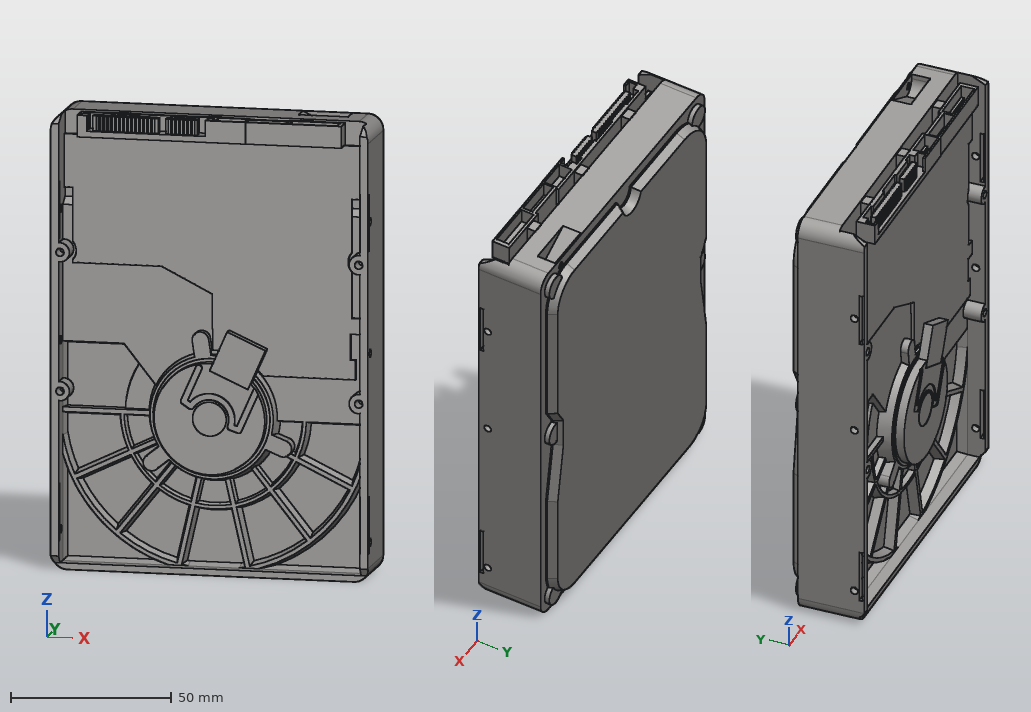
import cadquery as cq
import math

WIDTH = 101.5
HEIGHT = 145.2
DEPTH = 25.96

HALF = WIDTH / 2
BASE_BACK = 22.5
CORNER_RADIUS = 5.0
RAIL_WIDTH = 2.6
RAIL_INNER = HALF - RAIL_WIDTH
RAIL_FRONT_Y = 0.08
LAND_Y = 6.2
UPPER_FLOOR_Y = 9.4
STEP_LOW_Z = 115.4
STEP_HIGH_Z = 117.4
RAIL_TOP_SLOPE = (6.0, 3.0)
BOTTOM_WALL_Y = 2.1
BOTTOM_WALL = 2.1
BOTTOM_SLOPE_TOP_Z = 4.6

RECESS_XS = (25.1, 36.7, 40.9)
RECESS_DROP = 5.8
RECESS_FRONT_Y = 15.7
RECESS_BACK_Y = 22.0
RECESS_HOLE = (38.2, 142.3)
RECESS_HOLE_RADIUS = 1.1

SIDE_HOLE_DIAMETER = 2.46
SIDE_HOLE_Y = 3.4
SIDE_HOLE_DEPTH = 6.0
SIDE_HOLE_ZS = (12.6, 72.8, 114.7)
SLOT_ZS = (18.4, 114.6)
SLOT_LENGTH = 18.0
SLOT_FRONT_Y = 0.7
SLOT_WIDTH = 1.1
BOSS_X = 47.75
BOSS_ZS = (57.1, 101.3)
BOSS_RADIUS = 3.05
BOSS_HOLE_DIAMETER = 2.5
BOSS_HOLE_DEPTH = 6.0

MOTOR_Z = 50.2
MOTOR_RING_RADIUS = 19.7
MOTOR_RING_BASE_RADIUS = 21.0
MOTOR_RING_Y = 3.6
ROTOR_DIAMETER = 37.39
ROTOR_STEP_Y = 3.2
ROTOR_CAP_DIAMETER = 35.39
ROTOR_FRONT_Y = 0.3
SPINDLE_RADIUS = 5.4
SPINDLE_SINK = 0.1
LEDGE_XS = (-1.5, 7.0)
LEDGE_FRONT_Y = 4.5
LEDGE_TOP_Z = 71.4
LUG_RADIUS = 2.65
LUG_CENTRE_RADIUS = 24.6
LUG_FIRST_ANGLE = 98.4
LUG_COUNT = 3
OUTER_POCKET_Y = 9.4
INNER_POCKET_Y = 8.2
POCKET_DRAFT = 16.0
UPPER_POCKET_TOP_Z = 72.0
UPPER_POCKET_CORNER_X = -28.7
UPPER_POCKET_TIP = (-15.0, 54.8)
POCKET_COUNT = 7
RIB_HALF_WIDTH = 0.75
INNER_RING = (28.6, 29.7)
OUTER_RING = (48.8, 50.2)
POCKET_INSET = (OUTER_POCKET_Y - LAND_Y) * math.tan(math.radians(POCKET_DRAFT))

TAPE_BLOCK = (13.4, 13.8)
TAPE_BLOCK_CENTRE = (9.0, 69.2)
TAPE_BLOCK_FRONT_Y = 0.2
TAPE_BLOCK_BACK_Y = 3.2
TAPE_TILT = -24.0
GROOVE_DEPTH = 0.4
GROOVE_RADII = (6.1, 8.1)
GROOVE_END_ANGLES = (147.0, -18.6)
GROOVE_ELBOW_RADIUS = 9.8
GROOVE_LEFT_ARM = 11.8
GROOVE_RIGHT_ARM = 14.0

BOARD_FRONT_Y = 4.2
BOARD_BACK_Y = 5.3
BOARD_TOP_Z = 138.3
BOARD_EDGE_X = 47.2
BOARD_WAIST_X = 44.6
BOARD_WAIST_TOP_Z = 121.3
BOARD_LEFT_Z = 97.4
BOARD_RIGHT_Z = 63.9
BOARD_OUTLINE = [
    (-BOARD_EDGE_X, BOARD_TOP_Z),
    (BOARD_EDGE_X, BOARD_TOP_Z),
    (BOARD_EDGE_X, BOARD_WAIST_TOP_Z),
    (BOARD_WAIST_X, BOARD_WAIST_TOP_Z),
    (BOARD_WAIST_X, 83.4),
    (BOARD_EDGE_X, 83.4),
    (BOARD_EDGE_X, 78.4),
    (44.2, 78.4),
    (44.2, 70.1),
    (45.8, 70.1),
    (45.8, BOARD_RIGHT_Z),
    (0.3, BOARD_RIGHT_Z),
    (0.0, 89.3),
    (-16.1, BOARD_LEFT_Z),
    (-BOARD_WAIST_X, BOARD_LEFT_Z),
    (-BOARD_WAIST_X, BOARD_WAIST_TOP_Z),
    (-BOARD_EDGE_X, BOARD_WAIST_TOP_Z),
]
BOARD_BOSS_CLEARANCE = 4.3
BOARD_MOTOR_CLEARANCE = 21.3

CONNECTOR_X = 42.2
CONNECTOR_FRONT_Y = 0.0
CONNECTOR_BACK_Y = 6.2
CONNECTOR_FLOOR_Z = 140.2
RIGHT_SETBACK = 0.12
SOCKET_XS = (-39.2, -1.3)
SOCKET_BACK_Y = 4.6
SOCKET_KEYS = ((-39.2, -32.4), (-23.3, -13.3), (-4.3, -1.3))
SOCKET_KEY_BACK_Y = 5.2
SOCKET_GUIDE_XS = (-41.4, 0.9)
SOCKET_GUIDE_YS = (0.7, 3.4)
SATA_RIGHT_X = 1.3
SERVICE_RIGHT_X = 11.6
GAP_RIGHT_X = 24.4
THIN_WALL = 0.7
CELL_SIDE_WALL = 0.5
LAST_CELL_WALLS = (1.0, 1.5)
CELL_BACK_Y = 5.2
CELL_STEP_Z = 141.0
PIN_PITCH = 1.27
PIN_WIDTH = 0.8
PIN_PROUD = 0.3
TONGUE_Y = (1.6, 3.3)
POWER_TONGUE = (-37.5, -16.6, 15)
DATA_TONGUE = (-14.2, -4.1, 7)
TONGUE_TOP_Z = 144.9
TAB_XS = (-29.2, 0.0, 29.2)
TAB_WIDTH = 4.0
TAB_TOP_Z = 144.7

COVER_X = 47.5
COVER_Z = (3.0, 141.2)
COVER_SLOPE = (2.9, 1.5)
COVER_LARGE_RADIUS = 15.0
COVER_SMALL_RADIUS = 12.0
EDGE_NOTCH_RADIUS = 4.2
SIDE_NOTCH_DEPTH = 3.5
SIDE_NOTCH_ZS = (48.3, 70.0, 80.0, 86.0)
EAR_RADIUS = 4.0
EAR_X = 44.2
EAR_ZS = (6.3, 75.4, 138.7)
EAR_BACK_Y = 24.2


def box(x0, x1, y0, y1, z0, z1):
    """Box between opposite corners."""
    return cq.Workplane("XY").box(x1 - x0, y1 - y0, z1 - z0, centered=False).translate((x0, y0, z0))


def xz_plane(y):
    """Sketch plane at depth y; its local axes are X and Z, its normal points to -Y."""
    return cq.Workplane("XZ", origin=(0, y, 0))


def disc(x, z, radius, y0, y1):
    """Cylinder along Y."""
    return xz_plane(y1).center(x, z).circle(radius).extrude(y1 - y0)


def plate(points, y0, y1):
    """Plate with a polygon outline in X and Z."""
    return xz_plane(y1).polyline(points).close().extrude(y1 - y0)


def side_prism(points):
    """Prism along the full width with a polygon outline in Y and Z."""
    return cq.Workplane("YZ", origin=(-HALF, 0, 0)).polyline(points).close().extrude(WIDTH)


def around_motor(radius, degrees):
    """Point (X, Z) at a radius and angle about the motor axis."""
    angle = math.radians(degrees)
    return (radius * math.cos(angle), MOTOR_Z + radius * math.sin(angle))


def make_casting():
    casting = box(-HALF, HALF, RAIL_FRONT_Y, BASE_BACK, 0, HEIGHT).edges("|Y").fillet(CORNER_RADIUS)

    inside = side_prism([
        (0, BOTTOM_WALL),
        (LAND_Y, BOTTOM_WALL),
        (LAND_Y, STEP_LOW_Z),
        (UPPER_FLOOR_Y, STEP_HIGH_Z),
        (UPPER_FLOOR_Y, HEIGHT),
        (0, HEIGHT),
    ])
    casting = casting.cut(inside.intersect(box(-RAIL_INNER, RAIL_INNER, 0, BASE_BACK, 0, HEIGHT)))

    slope_y, slope_z = RAIL_TOP_SLOPE
    casting = casting.cut(side_prism([
        (RAIL_FRONT_Y, HEIGHT - slope_z),
        (slope_y, HEIGHT),
        (RAIL_FRONT_Y, HEIGHT),
    ]))
    casting = casting.cut(side_prism([
        (RAIL_FRONT_Y, 0),
        (BOTTOM_WALL_Y, 0),
        (BOTTOM_WALL_Y, BOTTOM_WALL),
        (RAIL_FRONT_Y, BOTTOM_SLOPE_TOP_Z),
    ]))
    return casting


def add_bosses(casting):
    for x in (-BOSS_X, BOSS_X):
        for z in BOSS_ZS:
            boss = disc(x, z, BOSS_RADIUS, RAIL_FRONT_Y, LAND_Y)
            casting = casting.union(boss.intersect(box(-HALF, HALF, 0, LAND_Y, 0, HEIGHT)))
    for x in (-BOSS_X, BOSS_X):
        for z in BOSS_ZS:
            casting = casting.cut(disc(x, z, BOSS_HOLE_DIAMETER / 2, 0, BOSS_HOLE_DEPTH))
    return casting


def cut_rail_openings(casting):
    for side in (-1, 1):
        for z in SIDE_HOLE_ZS:
            hole = (
                cq.Workplane("YZ", origin=(side * HALF, SIDE_HOLE_Y, z))
                .circle(SIDE_HOLE_DIAMETER / 2)
                .extrude(-side * SIDE_HOLE_DEPTH)
            )
            casting = casting.cut(hole)
    for z in SLOT_ZS:
        casting = casting.cut(box(
            -HALF, HALF,
            SLOT_FRONT_Y, SLOT_FRONT_Y + SLOT_WIDTH,
            z - SLOT_LENGTH / 2, z + SLOT_LENGTH / 2,
        ))
    return casting


def cut_top_recess(casting):
    """Ramped recess in the top wall, closed at the back by a thin wall with a small hole."""
    left, ramp_end, right = RECESS_XS
    bend_radius = right - ramp_end
    low_z = HEIGHT - RECESS_DROP
    middle = (
        ramp_end + bend_radius * math.sqrt(0.5),
        low_z + bend_radius * (1 - math.sqrt(0.5)),
    )
    recess = (
        xz_plane(RECESS_BACK_Y)
        .moveTo(left, HEIGHT)
        .lineTo(ramp_end, low_z)
        .threePointArc(middle, (right, low_z + bend_radius))
        .lineTo(right, HEIGHT)
        .close()
        .extrude(RECESS_BACK_Y - RECESS_FRONT_Y)
    )
    hole_x, hole_z = RECESS_HOLE
    hole = disc(hole_x, hole_z, RECESS_HOLE_RADIUS, RECESS_BACK_Y, BASE_BACK)
    return casting.cut(recess).cut(hole)


def sector_outline(plane, r_in, r_out, start, end, rib_half_width):
    """Outline between two radii and the flanks of two radial ribs, centred on start and end."""
    def corner(radius, degrees, side):
        return around_motor(radius, degrees + side * math.degrees(math.asin(rib_half_width / radius)))

    middle = (start + end) / 2
    return (
        plane
        .moveTo(*corner(r_in, start, 1))
        .lineTo(*corner(r_out, start, 1))
        .threePointArc(around_motor(r_out, middle), corner(r_out, end, -1))
        .lineTo(*corner(r_in, end, -1))
        .threePointArc(around_motor(r_in, middle), corner(r_in, start, 1))
        .close()
    )


def sector_pocket(r_in, r_out, start, end, floor_y):
    """Pocket narrowing by the draft from the land to its floor."""
    depth = floor_y - LAND_Y
    inset = depth * math.tan(math.radians(POCKET_DRAFT))
    mouth = sector_outline(xz_plane(LAND_Y), r_in, r_out, start, end, RIB_HALF_WIDTH)
    floor_plane = mouth.workplane(offset=-depth, origin=(0, 0, 0))
    both = sector_outline(floor_plane, r_in + inset, r_out - inset, start, end, RIB_HALF_WIDTH + inset)
    return both.loft(ruled=True)


def drafted_field(z0, z1):
    """Drafted block between the rails, limiting the pockets."""
    return (
        xz_plane(LAND_Y)
        .center(0, (z0 + z1) / 2)
        .rect(2 * RAIL_INNER, z1 - z0)
        .extrude(-(OUTER_POCKET_Y - LAND_Y), taper=POCKET_DRAFT)
    )


def cut_pockets(casting):
    field = drafted_field(BOTTOM_WALL, MOTOR_Z - RIB_HALF_WIDTH)
    step = 180 / POCKET_COUNT
    for i in range(POCKET_COUNT):
        start = 180 + i * step
        end = start + step
        inner = sector_pocket(MOTOR_RING_RADIUS, INNER_RING[0], start, end, INNER_POCKET_Y)
        outer = sector_pocket(INNER_RING[1], OUTER_RING[0], start, end, OUTER_POCKET_Y)
        casting = casting.cut(inner).cut(outer.intersect(field))

    ring = (
        xz_plane(OUTER_POCKET_Y)
        .center(0, MOTOR_Z)
        .circle(OUTER_RING[1] + POCKET_INSET)
        .extrude(OUTER_POCKET_Y - LAND_Y, taper=POCKET_DRAFT)
    )
    return casting.cut(field.cut(ring))


def cut_upper_pocket(casting):
    """Pocket left of the motor, with a shallower part inside the middle ring radius."""
    bottom = MOTOR_Z + RIB_HALF_WIDTH - POCKET_INSET
    pocket = (
        xz_plane(LAND_Y)
        .polyline([
            (-RAIL_INNER, bottom),
            (-RAIL_INNER, UPPER_POCKET_TOP_Z),
            (UPPER_POCKET_CORNER_X, UPPER_POCKET_TOP_Z),
            UPPER_POCKET_TIP,
            (UPPER_POCKET_TIP[0], bottom),
        ])
        .close()
        .extrude(-(OUTER_POCKET_Y - LAND_Y), taper=POCKET_DRAFT)
        .intersect(box(-HALF, 0, 0, BASE_BACK, MOTOR_Z + RIB_HALF_WIDTH, HEIGHT))
        .cut(disc(0, MOTOR_Z, INNER_RING[0], INNER_POCKET_Y, OUTER_POCKET_Y))
    )
    return casting.cut(pocket)


def make_motor():
    ring_depth = INNER_POCKET_Y - MOTOR_RING_Y
    ring_taper = math.degrees(math.atan((MOTOR_RING_BASE_RADIUS - MOTOR_RING_RADIUS) / ring_depth))
    motor = (
        xz_plane(INNER_POCKET_Y)
        .center(0, MOTOR_Z)
        .circle(MOTOR_RING_BASE_RADIUS)
        .extrude(ring_depth, taper=ring_taper)
    )
    for i in range(LUG_COUNT):
        angle = LUG_FIRST_ANGLE + i * 360 / LUG_COUNT
        x, z = around_motor(LUG_CENTRE_RADIUS / 2, angle)
        end_x, end_z = around_motor(LUG_CENTRE_RADIUS, angle)
        arm = (
            xz_plane(INNER_POCKET_Y)
            .center(x, z)
            .transformed(rotate=(0, 0, angle))
            .rect(LUG_CENTRE_RADIUS, 2 * LUG_RADIUS)
            .extrude(ring_depth)
        )
        motor = motor.union(arm).union(disc(end_x, end_z, LUG_RADIUS, MOTOR_RING_Y, INNER_POCKET_Y))

    ledge = box(*LEDGE_XS, LEDGE_FRONT_Y, INNER_POCKET_Y, MOTOR_Z, LEDGE_TOP_Z)
    rotor = disc(0, MOTOR_Z, ROTOR_DIAMETER / 2, ROTOR_STEP_Y, INNER_POCKET_Y)
    cap = disc(0, MOTOR_Z, ROTOR_CAP_DIAMETER / 2, ROTOR_FRONT_Y, ROTOR_STEP_Y)
    return motor.union(ledge).union(rotor).union(cap)


def groove_slot(start, end):
    """Straight, round-ended stretch of the lead groove."""
    across, up = end[0] - start[0], end[1] - start[1]
    width = GROOVE_RADII[1] - GROOVE_RADII[0]
    return (
        xz_plane(ROTOR_FRONT_Y + GROOVE_DEPTH)
        .center((start[0] + end[0]) / 2, (start[1] + end[1]) / 2)
        .transformed(rotate=(0, 0, math.degrees(math.atan2(up, across))))
        .slot2D(math.hypot(across, up) + width, width)
        .extrude(GROOVE_DEPTH)
    )


def cut_lead_groove(motor):
    """Groove around the lead: an arch over the spindle with a bent arm at each end."""
    r_in, r_out = GROOVE_RADII
    arch_radius = (r_in + r_out) / 2
    back_y = ROTOR_FRONT_Y + GROOVE_DEPTH
    left, right = GROOVE_END_ANGLES
    top = (left + right) / 2
    groove = (
        xz_plane(back_y)
        .moveTo(*around_motor(r_in, right))
        .lineTo(*around_motor(r_out, right))
        .threePointArc(around_motor(r_out, top), around_motor(r_out, left))
        .lineTo(*around_motor(r_in, left))
        .threePointArc(around_motor(r_in, top), around_motor(r_in, right))
        .close()
        .extrude(GROOVE_DEPTH)
    )
    lean = math.radians(90 + TAPE_TILT)
    for angle, reach in ((left, GROOVE_LEFT_ARM), (right, GROOVE_RIGHT_ARM)):
        elbow = around_motor(GROOVE_ELBOW_RADIUS, angle)
        tip = (elbow[0] + reach * math.cos(lean), elbow[1] + reach * math.sin(lean))
        groove = groove.union(groove_slot(around_motor(arch_radius, angle), elbow))
        groove = groove.union(groove_slot(elbow, tip))

    spindle_line = disc(0, MOTOR_Z, SPINDLE_RADIUS, ROTOR_FRONT_Y, ROTOR_FRONT_Y + SPINDLE_SINK)
    return motor.cut(groove).cut(spindle_line)


def make_tape_block():
    x, z = TAPE_BLOCK_CENTRE
    return (
        xz_plane(TAPE_BLOCK_BACK_Y)
        .center(x, z)
        .transformed(rotate=(0, 0, TAPE_TILT))
        .rect(*TAPE_BLOCK)
        .extrude(TAPE_BLOCK_BACK_Y - TAPE_BLOCK_FRONT_Y)
    )


def make_board():
    board = plate(BOARD_OUTLINE, BOARD_FRONT_Y, BOARD_BACK_Y)
    board = board.cut(disc(0, MOTOR_Z, BOARD_MOTOR_CLEARANCE, BOARD_FRONT_Y, BOARD_BACK_Y))
    for x in (-BOSS_X, BOSS_X):
        board = board.cut(disc(x, BOSS_ZS[1], BOARD_BOSS_CLEARANCE, BOARD_FRONT_Y, BOARD_BACK_Y))
    return board


def make_tongue(left, right, pin_count):
    """Contact tongue with a row of pins standing proud of its front and back."""
    front_y, back_y = TONGUE_Y
    tongue = box(left, right, front_y, back_y, CONNECTOR_FLOOR_Z, TONGUE_TOP_Z)
    first_x = (left + right - (pin_count - 1) * PIN_PITCH) / 2
    for i in range(pin_count):
        x = first_x + i * PIN_PITCH
        tongue = tongue.union(box(
            x - PIN_WIDTH / 2, x + PIN_WIDTH / 2,
            front_y - PIN_PROUD, back_y + PIN_PROUD,
            CONNECTOR_FLOOR_Z, TONGUE_TOP_Z,
        ))
    return tongue


def make_connectors():
    strip = box(
        -CONNECTOR_X, CONNECTOR_X, CONNECTOR_FRONT_Y, CONNECTOR_BACK_Y, BOARD_TOP_Z, HEIGHT
    )
    right_front_y = CONNECTOR_FRONT_Y + RIGHT_SETBACK
    strip = strip.cut(box(
        SERVICE_RIGHT_X, CONNECTOR_X, CONNECTOR_FRONT_Y, right_front_y, BOARD_TOP_Z, HEIGHT
    ))

    floor = CONNECTOR_FLOOR_Z
    strip = strip.cut(box(*SOCKET_XS, CONNECTOR_FRONT_Y, SOCKET_BACK_Y, floor, HEIGHT))
    for left, right in SOCKET_KEYS:
        strip = strip.cut(box(left, right, SOCKET_BACK_Y, SOCKET_KEY_BACK_Y, floor, HEIGHT))
    strip = strip.cut(box(*SOCKET_GUIDE_XS, *SOCKET_GUIDE_YS, floor, HEIGHT))
    strip = strip.union(make_tongue(*POWER_TONGUE)).union(make_tongue(*DATA_TONGUE))

    cells = (
        (SATA_RIGHT_X + CELL_SIDE_WALL, SERVICE_RIGHT_X - CELL_SIDE_WALL, CONNECTOR_FRONT_Y + THIN_WALL),
        (SERVICE_RIGHT_X, GAP_RIGHT_X, right_front_y + THIN_WALL),
        (GAP_RIGHT_X + LAST_CELL_WALLS[0], CONNECTOR_X - LAST_CELL_WALLS[1], right_front_y + THIN_WALL),
    )
    for left, right, cell_front_y in cells:
        strip = strip.cut(box(left, right, cell_front_y, BOARD_FRONT_Y, floor, HEIGHT))
    for left, right, cell_front_y in (cells[0], cells[2]):
        strip = strip.cut(box(left, right, cell_front_y, CELL_BACK_Y, CELL_STEP_Z, HEIGHT))
    strip = strip.cut(box(
        SERVICE_RIGHT_X, GAP_RIGHT_X, BOARD_BACK_Y, CONNECTOR_BACK_Y, BOARD_TOP_Z, HEIGHT
    ))

    for x in TAB_XS:
        tab = box(
            x - TAB_WIDTH / 2, x + TAB_WIDTH / 2, BOARD_BACK_Y, UPPER_FLOOR_Y, BOARD_TOP_Z, TAB_TOP_Z
        )
        strip = strip.union(tab)
    return strip


def make_cover():
    cover = box(-COVER_X, COVER_X, BASE_BACK, DEPTH, *COVER_Z)
    cover = cover.edges("|Y and <X and >Z").fillet(COVER_LARGE_RADIUS)
    cover = cover.edges("|Y and >X and >Z").fillet(COVER_SMALL_RADIUS)
    cover = cover.edges("|Y and <Z").fillet(COVER_SMALL_RADIUS)

    z0, z1, z2, z3 = SIDE_NOTCH_ZS
    floor_x = COVER_X - SIDE_NOTCH_DEPTH
    cover = cover.cut(disc(0, COVER_Z[1], EDGE_NOTCH_RADIUS, BASE_BACK, DEPTH))
    for side in (-1, 1):
        notch = [(side * COVER_X, z0), (side * floor_x, z1), (side * floor_x, z2), (side * COVER_X, z3)]
        cover = cover.cut(plate(notch, BASE_BACK, DEPTH))
    cover = cover.faces(">Y").chamfer(*COVER_SLOPE)

    for x in (-EAR_X, EAR_X):
        for z in EAR_ZS:
            cover = cover.union(disc(x, z, EAR_RADIUS, BASE_BACK, EAR_BACK_Y))
    return cover


casting = cut_rail_openings(add_bosses(make_casting()))
casting = cut_upper_pocket(cut_pockets(cut_top_recess(casting)))
result = (
    casting
    .union(cut_lead_groove(make_motor()))
    .union(make_board())
    .union(make_tape_block())
    .union(make_connectors())
    .union(make_cover())
)